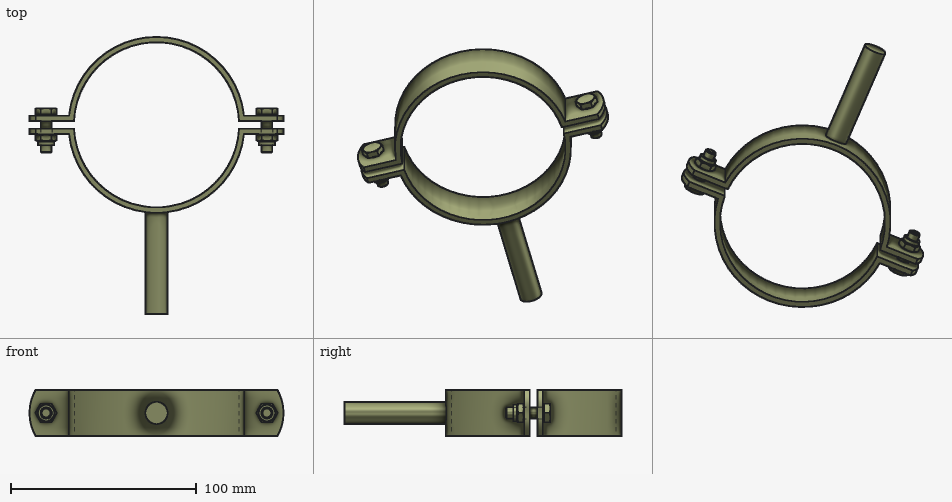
import cadquery as cq
import math

pipe_diameter = 88.9
band_thickness = 3.0
band_height = 25.0
split_gap = 4.0
inner_radius = pipe_diameter / 2
outer_radius = inner_radius + band_thickness

ear_span = 137.0
ear_end_radius = 25.0
bolt_spacing = 119.0
bolt_hole_diameter = 6.5
ear_inner_face = split_gap / 2
ear_outer_face = ear_inner_face + band_thickness

rod_diameter = 12.0
rod_end_distance = 102.0

thread_diameter = 6.0
hex_across_flats = 10.0
hex_across_corners = hex_across_flats / math.cos(math.radians(30))
hex_chamfer_angle = 30.0
bolt_length = 20.0
bolt_head_height = 4.0
bolt_face_diameter = 8.7
bolt_face_height = 0.6
bolt_tip_chamfer = 0.6

nut_height = 6.0
nut_hex_height = 4.0
nut_collar_diameter = 8.9
nut_seat_diameter = 8.9


def along_y(diameter, start, end):
    """Cylinder about the Y axis between two Y positions."""
    plane = cq.Workplane("XZ", origin=(0, start, 0))
    return plane.circle(diameter / 2).extrude(start - end)


def hexagon(start, end):
    """Hexagonal prism about the Y axis between two Y positions, start above end."""
    plane = cq.Workplane("XZ", origin=(0, start, 0))
    return plane.polygon(6, hex_across_corners).extrude(start - end)


def cone_corners(prism, face_y, face_diameter, inward):
    """Trim hexagon corners with a cone that opens from a circle on the face in the inward Y direction."""
    depth = hex_across_corners
    face_radius = face_diameter / 2
    far_radius = face_radius + depth / math.tan(math.radians(hex_chamfer_angle))
    cone = cq.Solid.makeCone(
        face_radius, far_radius, depth, cq.Vector(0, face_y, 0), cq.Vector(0, inward, 0)
    )
    return prism.intersect(cq.Workplane(cone))


def make_rear_half():
    """Half band on the +Y side with its two ears."""
    inner_end_x = math.sqrt(inner_radius**2 - ear_inner_face**2)
    outer_end_x = math.sqrt(outer_radius**2 - ear_outer_face**2)
    ear_end_x = ear_span / 2
    half = (
        cq.Workplane("XY", origin=(0, 0, -band_height / 2))
        .moveTo(-ear_end_x, ear_inner_face)
        .lineTo(-inner_end_x, ear_inner_face)
        .threePointArc((0, inner_radius), (inner_end_x, ear_inner_face))
        .lineTo(ear_end_x, ear_inner_face)
        .lineTo(ear_end_x, ear_outer_face)
        .lineTo(outer_end_x, ear_outer_face)
        .threePointArc((0, outer_radius), (-outer_end_x, ear_outer_face))
        .lineTo(-ear_end_x, ear_outer_face)
        .close()
        .extrude(band_height)
    )

    ear_sagitta = ear_end_radius - math.sqrt(ear_end_radius**2 - (band_height / 2) ** 2)
    corner_x = ear_end_x - ear_sagitta
    half_height = band_height / 2
    front_outline = (
        cq.Workplane("XZ")
        .moveTo(-corner_x, -half_height)
        .lineTo(corner_x, -half_height)
        .threePointArc((ear_end_x, 0), (corner_x, half_height))
        .lineTo(-corner_x, half_height)
        .threePointArc((-ear_end_x, 0), (-corner_x, -half_height))
        .close()
        .extrude(-2 * outer_radius)
    )
    half = half.intersect(front_outline)

    for side in (-1, 1):
        hole = along_y(bolt_hole_diameter, ear_outer_face, ear_inner_face)
        half = half.cut(hole.translate((side * bolt_spacing / 2, 0, 0)))
    return half


def make_front_half():
    """Mirrored half band carrying the mounting rod."""
    rod = along_y(rod_diameter, 0, -rod_end_distance)
    bore = cq.Workplane("XY").circle(inner_radius).extrude(band_height / 2, both=True)
    return make_rear_half().mirror("XZ").union(rod.cut(bore))


def make_bolt(x):
    """Hexagon bolt seated on the rear ear, pointing toward -Y."""
    head_top = ear_outer_face + bolt_head_height
    face_top = ear_outer_face + bolt_face_height
    tip = ear_outer_face - bolt_length
    head = cone_corners(hexagon(head_top, face_top), head_top, hex_across_flats, -1)
    washer_face = along_y(bolt_face_diameter, face_top, ear_outer_face)
    shank = along_y(thread_diameter, ear_outer_face, tip)
    shank = shank.faces("<Y").chamfer(bolt_tip_chamfer)
    return head.union(washer_face).union(shank).translate((x, 0, 0))


def make_nut(x):
    """Lock nut seated on the front ear."""
    seat = -ear_outer_face
    hex_end = seat - nut_hex_height
    nut_end = seat - nut_height
    nut = cone_corners(hexagon(seat, hex_end), seat, nut_seat_diameter, -1)
    nut = cone_corners(nut, hex_end, nut_collar_diameter, 1)
    nut = nut.union(along_y(nut_collar_diameter, hex_end, nut_end))
    return nut.cut(along_y(thread_diameter, seat, nut_end)).translate((x, 0, 0))


rear_half = make_rear_half()
front_half = make_front_half()
bolt_positions = [-bolt_spacing / 2, bolt_spacing / 2]
bolts = [make_bolt(x).val() for x in bolt_positions]
nuts = [make_nut(x).val() for x in bolt_positions]

result = cq.Compound.makeCompound([rear_half.val(), front_half.val(), *bolts, *nuts])